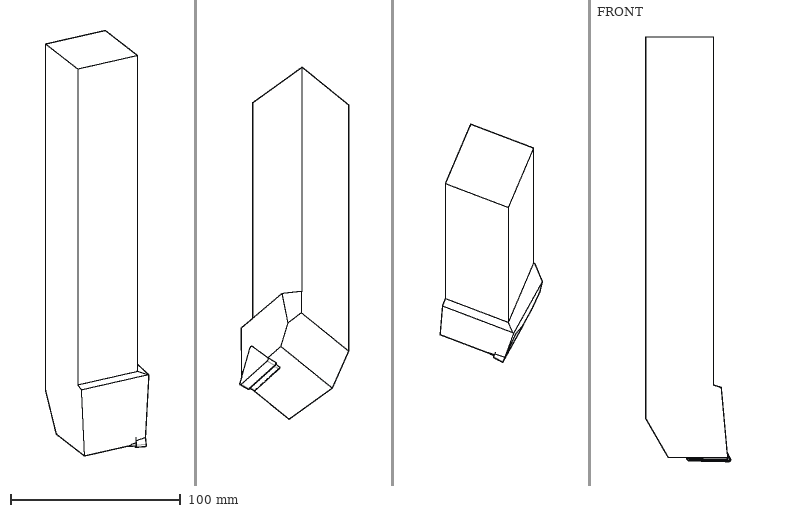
import cadquery as cq
import math

tool_length = 250.5
tip_x = 50.0
shank_side = 40.0

head_end_z = 2.5
step_z = 45.3
step_slope = 0.3
head_side_x = 44.5
head_end_x = 48.3
bevel_end_x = 13.3
bevel_angle = 30.0
flank_start_y = 40.8
head_reach = 55.0

rake_peak_y = 48.8
rake_peak_x = rake_peak_y - flank_start_y
rake_peak_z = step_z - step_slope * (rake_peak_y - shank_side)
rake_fall_x = 0.1
rake_fall_z = 0.1
rake_cut_size = 300.5
rake_cut_depth = 50.0

insert_edge = 27.5
insert_thickness = 6.3
corner_radius = 1.3
edge_tilt = 1.2
seat_thickness = 4.0
seat_inset = 0.5


def rake_plane(x, z):
    """Plane of the rake face, with its origin above (x, z) and local x towards -X."""
    y = rake_peak_y - rake_fall_x * (x - rake_peak_x) - rake_fall_z * (rake_peak_z - z)
    return cq.Plane(
        origin=(x, y, z),
        xDir=(-1, rake_fall_x, 0),
        normal=(rake_fall_x, 1, -rake_fall_z),
    )


def make_triangle(inset, depth_below_rake, thickness):
    """Rounded equilateral prism below the rake face, its tip at the cutting corner."""
    corner_loss = corner_radius * (math.sqrt(3) - 1)
    inset_shift = inset * math.sqrt(3)
    inset_edge = insert_edge - 2 * inset_shift
    height = inset_edge * math.sqrt(3) / 2
    tip_plane = rake_plane(tip_x + corner_loss, 0)
    return (
        cq.Workplane(tip_plane)
        .transformed(rotate=(0, 0, edge_tilt), offset=(0, 0, -depth_below_rake))
        .moveTo(inset_shift, inset)
        .lineTo(inset_shift + inset_edge, inset)
        .lineTo(inset_shift + inset_edge / 2, inset + height)
        .close()
        .extrude(-thickness)
        .edges(cq.selectors.ParallelDirSelector(tip_plane.zDir))
        .fillet(corner_radius)
    )


def make_shank():
    return (
        cq.Workplane("XY")
        .workplane(offset=step_z)
        .rect(shank_side, shank_side, centered=False)
        .extrude(tool_length - step_z)
    )


def make_head():
    bevel_top_z = head_end_z + bevel_end_x / math.tan(math.radians(bevel_angle))
    side_top_z = step_z - step_slope * (head_side_x - shank_side)
    front_outline = (
        cq.Workplane("XZ")
        .polyline([
            (0, step_z),
            (shank_side, step_z),
            (head_side_x, side_top_z),
            (head_end_x, head_end_z),
            (bevel_end_x, head_end_z),
            (0, bevel_top_z),
        ])
        .close()
        .extrude(-head_reach)
    )
    step_outline = (
        cq.Workplane("YZ")
        .polyline([
            (0, 0),
            (0, step_z),
            (shank_side, step_z),
            (head_reach, step_z - step_slope * (head_reach - shank_side)),
            (head_reach, 0),
        ])
        .close()
        .extrude(head_reach)
    )
    flank_outline = (
        cq.Workplane("XY")
        .polyline([
            (0, 0),
            (0, flank_start_y),
            (head_reach - flank_start_y, head_reach),
            (head_reach, head_reach),
            (head_reach, 0),
        ])
        .close()
        .extrude(step_z)
    )
    above_rake = (
        cq.Workplane(rake_plane(rake_peak_x, rake_peak_z))
        .rect(rake_cut_size, rake_cut_size)
        .extrude(rake_cut_depth)
    )
    return front_outline.intersect(step_outline).intersect(flank_outline).cut(above_rake)


insert = make_triangle(0, 0, insert_thickness)

seat = make_triangle(seat_inset, insert_thickness, seat_thickness)
holder = make_head().union(make_shank()).union(seat).cut(insert)

result = cq.Compound.makeCompound([holder.val(), insert.val()])